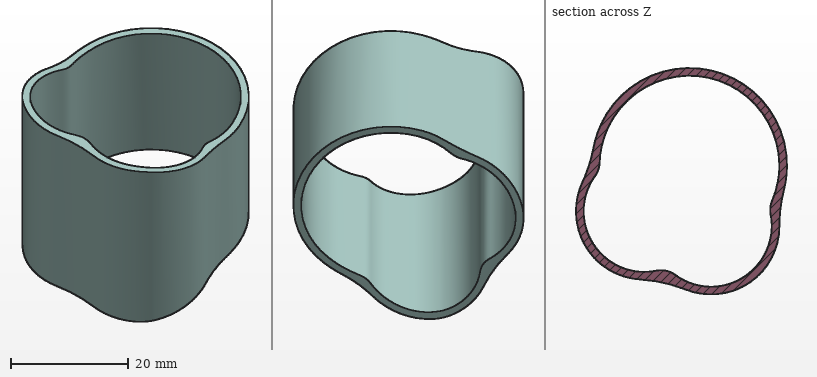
import cadquery as cq
import math

LARGE_RADIUS = 16.67
SMALL_RADIUS = 11.7
SMALL_HALF_SPACING = 5.85
LARGE_OFFSET = 9.3
WALL = 1.35
OUTER_BLEND = 25.0
INNER_BLEND = 4.0
TURN = -12.5

FULL_HEIGHT = 36.0
LOW_HEIGHT = 27.75
RAMP_FOOT = 12.8
RAMP_ANGLE = 13.4
FOOT_RADIUS = 40.0
CREST_RADIUS = 12.0
REACH = 38.68

LOBES = [
    (0, LARGE_OFFSET, LARGE_RADIUS),
    (-SMALL_HALF_SPACING, 0, SMALL_RADIUS),
    (SMALL_HALF_SPACING, 0, SMALL_RADIUS),
]


def toward(start, end, distance):
    """Point at a distance from start on the line to end."""
    ratio = distance / math.dist(start, end)
    return tuple(a + (b - a) * ratio for a, b in zip(start, end))


def blend_arc(first, second, inset, blend):
    """Start, middle and end of the hollow arc tangent to two successive lobes."""
    c1, r1 = first[:2], first[2] - inset
    c2, r2 = second[:2], second[2] - inset
    gap = math.dist(c1, c2)
    side1 = r1 + blend
    side2 = r2 + blend
    along = (side1**2 - side2**2 + gap**2) / (2 * gap)
    away = math.sqrt(side1**2 - along**2)
    ux = (c2[0] - c1[0]) / gap
    uy = (c2[1] - c1[1]) / gap
    foot = (c1[0] + along * ux, c1[1] + along * uy)
    center = (foot[0] + away * uy, foot[1] - away * ux)
    start = toward(c1, center, r1)
    end = toward(c2, center, r2)
    chord_middle = ((start[0] + end[0]) / 2, (start[1] + end[1]) / 2)
    return start, toward(center, chord_middle, blend), end


def lobed_prism(inset, blend):
    """Full-height prism of the three-lobed outline, moved inward by inset."""
    count = len(LOBES)
    blends = [blend_arc(LOBES[i], LOBES[(i + 1) % count], inset, blend) for i in range(count)]
    outline = cq.Workplane("XY").workplane(offset=-FULL_HEIGHT / 2).moveTo(*blends[-1][2])
    for (x, y, radius), previous, (start, middle, end) in zip(LOBES, [blends[-1]] + blends, blends):
        lobe_start = math.atan2(previous[2][1] - y, previous[2][0] - x)
        sweep = (math.atan2(start[1] - y, start[0] - x) - lobe_start) % math.tau
        halfway = lobe_start + sweep / 2
        reach = radius - inset
        crown = (x + reach * math.cos(halfway), y + reach * math.sin(halfway))
        outline = outline.threePointArc(crown, start).threePointArc(middle, end)
    return outline.close().extrude(FULL_HEIGHT)


def end_cutter():
    """Solid above the upper end face, with a tangent arc-line-arc ramp."""
    low = LOW_HEIGHT / 2
    high = FULL_HEIGHT / 2
    slope = math.radians(RAMP_ANGLE)
    rise = high - low
    arc_rise = (FOOT_RADIUS + CREST_RADIUS) * (1 - math.cos(slope))
    straight_run = (rise - arc_rise) / math.tan(slope)

    def foot_point(angle):
        return (RAMP_FOOT - FOOT_RADIUS * math.sin(angle), low + FOOT_RADIUS * (1 - math.cos(angle)))

    crest_y = foot_point(slope)[0] - straight_run - CREST_RADIUS * math.sin(slope)

    def crest_point(angle):
        return (crest_y + CREST_RADIUS * math.sin(angle), high - CREST_RADIUS * (1 - math.cos(angle)))

    return (
        cq.Workplane("YZ")
        .workplane(offset=-REACH)
        .moveTo(REACH, low)
        .lineTo(RAMP_FOOT, low)
        .threePointArc(foot_point(slope / 2), foot_point(slope))
        .lineTo(*crest_point(slope))
        .threePointArc(crest_point(slope / 2), (crest_y, high))
        .lineTo(crest_y, REACH)
        .lineTo(REACH, REACH)
        .close()
        .extrude(2 * REACH)
    )


sleeve = lobed_prism(0, OUTER_BLEND).cut(lobed_prism(WALL, INNER_BLEND))
upper_cutter = end_cutter()
sleeve = sleeve.cut(upper_cutter).cut(upper_cutter.mirror("XY"))
result = sleeve.rotate((0, 0, 0), (0, 0, 1), TURN)